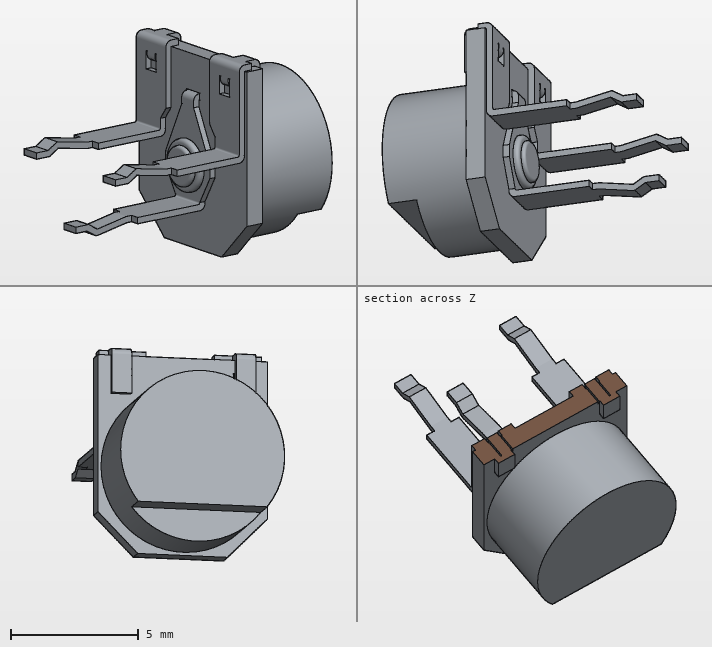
import cadquery as cq
import math


BOARD_WIDTH = 6.81
BOARD_TOP = 4.47
BOARD_BOTTOM = -BOARD_WIDTH / 2
BOARD_THICK = 0.8
BOARD_CHAMFER = 1.59
SLOT_GAP = 0.04

SHEET = 0.26
INNER_BEND = 0.07
LEG_WIDTH = 1.53
LEG_SHOULDER_Y = -3.36
LEG_TIP_Y = -6.14
KINK_START_Y = -3.63
KINK_PEAK_Y = -5.06
KINK_END_Y = -5.5
KINK_RISE = 0.26

SIDE_OUTER_X = -3.26
SIDE_WIDTH = 1.89
SIDE_LEG_BOTTOM = 0.78
SIDE_TIP_WIDTH = 0.79
TAPER_TOP = 1.99
TAPER_BOTTOM = 1.51
FLAP_DEPTH = 0.36
HOOK_BOTTOM = 2.94

WINDOW_WIDTH = 0.64
WINDOW_TOP = 4.06
WINDOW_BOTTOM = 3.33
TAB_WIDTH = 0.49
TAB_TOP = 3.94

WIPER_LEG_BOTTOM = -1.7
WIPER_TIP_WIDTH = 0.76
WIPER_WAIST_TOP = 2.4
WIPER_WAIST_BOTTOM = -1.36
WIPER_BODY_WIDTH = 2.81
WIPER_BODY_HALF_HEIGHT = 0.25
WIPER_TAB_BOTTOM = 2.66

KNOB_RADIUS = 3.29
KNOB_BACK = 4.35
KNOB_GAP = 0.05
NOTCH_DEPTH = 1.17
NOTCH_Z = -2.04
SHAFT_RADIUS = 0.83
SHAFT_FRONT = -0.71
SHAFT_ROUND = 0.13
COLLAR_RADIUS = 1.08
COLLAR_FRONT = -0.53
COLLAR_GAP = 0.03
COLLAR_ROUND = 0.16


def box_between(x_range, y_range, z_range):
    """Box from its lower and upper limits along each axis."""
    sizes = [high - low for low, high in (x_range, y_range, z_range)]
    corner = (x_range[0], y_range[0], z_range[0])
    return cq.Workplane("XY").box(*sizes, centered=False).translate(corner)


def centred(width, middle=0.0):
    """Limits of a span of the given width about its middle."""
    return (middle - width / 2, middle + width / 2)


def offset_path(path, distance):
    """Copy of an open polyline moved sideways (to the right of travel), with mitred corners."""
    angles = [math.atan2(b[1] - a[1], b[0] - a[0]) for a, b in zip(path, path[1:])]
    moved = []
    for i, (y, z) in enumerate(path):
        before = angles[max(i - 1, 0)]
        after = angles[min(i, len(angles) - 1)]
        bisector = before + math.remainder(after - before, math.tau) / 2
        reach = distance / math.cos(bisector - before)
        moved.append((y + reach * math.sin(bisector), z - reach * math.cos(bisector)))
    return moved


def leg_path(foot_y, foot_z, direction):
    """Inner side of a kinked leg, from the foot of the upright to the tip; direction is +1 or -1 in Z."""
    peak_z = foot_z + direction * KINK_RISE
    return [
        (foot_y, foot_z),
        (KINK_START_Y, foot_z),
        (KINK_PEAK_Y, peak_z),
        (KINK_END_Y, foot_z),
        (LEG_TIP_Y, foot_z),
    ]


def bent_strip(board_side, free_side, x_range, folds, foot):
    """Sheet strip between two matching YZ paths, one along the board and one facing away from it.

    folds lists the path points where the sheet folds over the board; foot is where the leg starts.
    """
    strip = (
        cq.Workplane("YZ", origin=(x_range[0], 0, 0))
        .polyline(board_side + free_side[::-1])
        .close()
        .extrude(x_range[1] - x_range[0])
    )
    rounds = [(free_side[i], SHEET) for i in folds]
    rounds += [(board_side[foot], SHEET), (free_side[foot], INNER_BEND)]
    middle_x = sum(x_range) / 2
    for (y, z), radius in rounds:
        corner = cq.selectors.NearestToPointSelector((middle_x, y, z))
        strip = strip.edges("|X").edges(corner).fillet(radius)
    return strip


def make_side_terminal():
    inner_x = SIDE_OUTER_X + SIDE_WIDTH
    leg_inner_x = SIDE_OUTER_X + LEG_WIDTH
    leg_middle_x = SIDE_OUTER_X + LEG_WIDTH / 2
    top = BOARD_TOP + SHEET
    back = BOARD_THICK + SHEET

    board_side = [(BOARD_THICK, HOOK_BOTTOM), (BOARD_THICK, BOARD_TOP), (0, BOARD_TOP)]
    board_side += leg_path(0, SIDE_LEG_BOTTOM, 1)
    free_side = offset_path(board_side, SHEET)
    strip = bent_strip(board_side, free_side, (SIDE_OUTER_X, inner_x), folds=(1, 2), foot=3)

    front_outline = (
        cq.Workplane("XZ", origin=(0, back, 0))
        .moveTo(SIDE_OUTER_X, SIDE_LEG_BOTTOM)
        .lineTo(leg_inner_x, SIDE_LEG_BOTTOM)
        .lineTo(leg_inner_x, TAPER_BOTTOM)
        .lineTo(inner_x, TAPER_TOP)
        .lineTo(inner_x, top)
        .lineTo(SIDE_OUTER_X, top)
        .close()
        .extrude(back - LEG_TIP_Y)
    )

    height = (SIDE_LEG_BOTTOM, top)
    narrow_part = box_between(centred(SIDE_TIP_WIDTH, leg_middle_x), (LEG_TIP_Y, back), height)
    wide_part = box_between((SIDE_OUTER_X, inner_x), (LEG_SHOULDER_Y, FLAP_DEPTH), height)
    blank = strip.intersect(front_outline).intersect(narrow_part.union(wide_part))

    middle_x = SIDE_OUTER_X + SIDE_WIDTH / 2
    window = box_between(centred(WINDOW_WIDTH, middle_x), (-SHEET, 0), (WINDOW_BOTTOM, WINDOW_TOP))
    return blank.cut(window).union(make_window_tab(middle_x))


def make_window_tab(middle_x):
    """Tab that hangs from the top of the window and turns back through the board."""
    bottom = TAB_TOP - SHEET
    on_arc = SHEET * math.sqrt(0.5)
    return (
        cq.Workplane("YZ", origin=(middle_x - TAB_WIDTH / 2, 0, 0))
        .moveTo(-SHEET, WINDOW_TOP)
        .lineTo(-SHEET, TAB_TOP)
        .threePointArc((-on_arc, TAB_TOP - on_arc), (0, bottom))
        .lineTo(BOARD_THICK, bottom)
        .lineTo(BOARD_THICK, TAB_TOP)
        .lineTo(0, TAB_TOP)
        .lineTo(0, WINDOW_TOP)
        .close()
        .extrude(TAB_WIDTH)
    )


def make_wiper_terminal():
    top = WIPER_TAB_BOTTOM + SHEET

    free_side = [(BOARD_THICK, top), (-SHEET, top)] + leg_path(-SHEET, WIPER_LEG_BOTTOM + SHEET, -1)
    board_side = offset_path(free_side, -SHEET)
    strip = bent_strip(board_side, free_side, centred(WIPER_BODY_WIDTH), folds=(1,), foot=2)

    half_outline = [
        (WIPER_TIP_WIDTH / 2, top),
        (WIPER_TIP_WIDTH / 2, WIPER_WAIST_TOP),
        (WIPER_BODY_WIDTH / 2, WIPER_BODY_HALF_HEIGHT),
        (WIPER_BODY_WIDTH / 2, -WIPER_BODY_HALF_HEIGHT),
        (LEG_WIDTH / 2, WIPER_WAIST_BOTTOM),
        (LEG_WIDTH / 2, WIPER_LEG_BOTTOM - KINK_RISE),
    ]
    front_outline = (
        cq.Workplane("XZ", origin=(0, BOARD_THICK, 0))
        .polyline(half_outline + [(-x, z) for x, z in reversed(half_outline)])
        .close()
        .extrude(BOARD_THICK - LEG_TIP_Y)
    )

    height = (WIPER_LEG_BOTTOM - KINK_RISE, top)
    narrow_part = box_between(centred(WIPER_TIP_WIDTH), (LEG_TIP_Y, BOARD_THICK), height)
    wide_part = box_between(centred(WIPER_BODY_WIDTH), (LEG_SHOULDER_Y, BOARD_THICK), height)
    return strip.intersect(front_outline).intersect(narrow_part.union(wide_part))


def make_board():
    board = (
        box_between(centred(BOARD_WIDTH), (0, BOARD_THICK), (BOARD_BOTTOM, BOARD_TOP))
        .edges("|Y and <Z")
        .chamfer(BOARD_CHAMFER)
    )
    through = (0, BOARD_THICK)

    window_middle_x = SIDE_OUTER_X + SIDE_WIDTH / 2
    for middle_x in (window_middle_x, -window_middle_x):
        slot_width = centred(TAB_WIDTH + 2 * SLOT_GAP, middle_x)
        board = board.cut(box_between(slot_width, through, (TAB_TOP - SHEET, TAB_TOP)))
    wiper_slot_z = (WIPER_TAB_BOTTOM, WIPER_TAB_BOTTOM + SHEET + SLOT_GAP)
    wiper_slot_width = WIPER_TIP_WIDTH + 2 * SLOT_GAP
    return board.cut(box_between(centred(wiper_slot_width), through, wiper_slot_z))


def cylinder(radius, front, back):
    """Cylinder about the rotor axis between two Y positions."""
    return cq.Workplane("XZ", origin=(0, back, 0)).circle(radius).extrude(back - front)


def make_base():
    side_terminal = make_side_terminal()
    base = make_board().union(make_wiper_terminal())
    base = base.union(side_terminal).union(side_terminal.mirror("YZ"))
    return base.cut(cylinder(SHAFT_RADIUS, -SHEET, BOARD_THICK))


def make_rotor():
    knob = cylinder(KNOB_RADIUS, BOARD_THICK + KNOB_GAP, KNOB_BACK)
    notch = box_between(
        centred(2 * KNOB_RADIUS), (KNOB_BACK - NOTCH_DEPTH, KNOB_BACK), (-KNOB_RADIUS, NOTCH_Z)
    )
    shaft = cylinder(SHAFT_RADIUS, SHAFT_FRONT, KNOB_BACK).faces("<Y").edges().fillet(SHAFT_ROUND)
    collar = cylinder(COLLAR_RADIUS, COLLAR_FRONT, -SHEET - COLLAR_GAP)
    collar = collar.faces("<Y").edges().fillet(COLLAR_ROUND)
    return knob.cut(notch).union(shaft).union(collar)


base = make_base()
rotor = make_rotor()
result = cq.Compound.makeCompound([base.val(), rotor.val()])